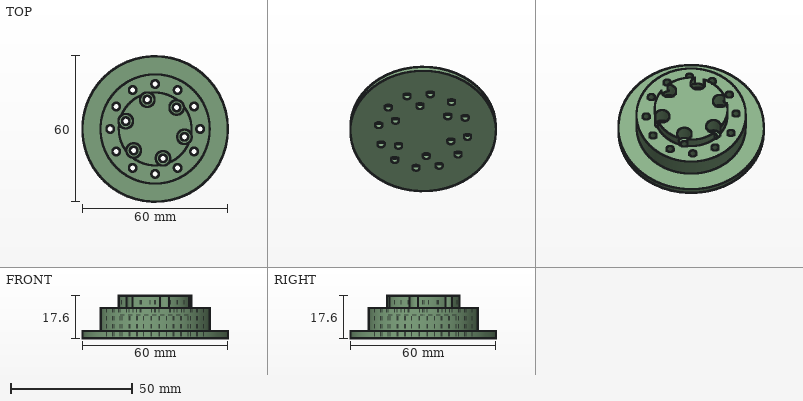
import cadquery as cq

flange_diameter = 60
flange_thickness = 3

drum_diameter = 45
drum_height = 9.5
boss_diameter = 30
boss_height = 5.05

outer_hole_count = 12
outer_hole_circle_diameter = 37.0

screw_count = 6
screw_circle_diameter = 25.0
screw_start_angle = 45
counterbore_diameter = 6
counterbore_depth_in_drum = 3

hole_diameter = 3

drum_top = flange_thickness + drum_height
hub_top = drum_top + boss_height
counterbore_floor = drum_top - counterbore_depth_in_drum


def cylinder(diameter, bottom, top):
    """Upright cylinder on the Z axis."""
    return cq.Workplane("XY").workplane(offset=bottom).circle(diameter / 2).extrude(top - bottom)


def outer_ring(bottom, top):
    """Cylinders on the outer hole ring."""
    return (
        cq.Workplane("XY").workplane(offset=bottom)
        .polarArray(outer_hole_circle_diameter / 2, 0, 360, outer_hole_count)
        .circle(hole_diameter / 2)
        .extrude(top - bottom)
    )


def screw_ring(diameter, bottom, top):
    """Cylinders of one diameter on the inner screw ring."""
    return (
        cq.Workplane("XY").workplane(offset=bottom)
        .polarArray(screw_circle_diameter / 2, screw_start_angle, 360, screw_count)
        .circle(diameter / 2)
        .extrude(top - bottom)
    )


def drill_through_holes(body):
    """Cut both rings of through holes over the full height of the assembly."""
    return body.cut(outer_ring(0, hub_top)).cut(screw_ring(hole_diameter, 0, hub_top))


def make_flange():
    """Flat round plate with both rings of through holes."""
    return drill_through_holes(cylinder(flange_diameter, 0, flange_thickness))


def make_hub():
    """Drum with a smaller boss on top, drilled and counterbored from above."""
    drum = cylinder(drum_diameter, flange_thickness, drum_top)
    boss = cylinder(boss_diameter, drum_top, hub_top)
    counterbores = screw_ring(counterbore_diameter, counterbore_floor, hub_top)
    return drill_through_holes(drum.union(boss)).cut(counterbores)


flange = make_flange()
hub = make_hub()

result = cq.Compound.makeCompound([flange.val(), hub.val()])